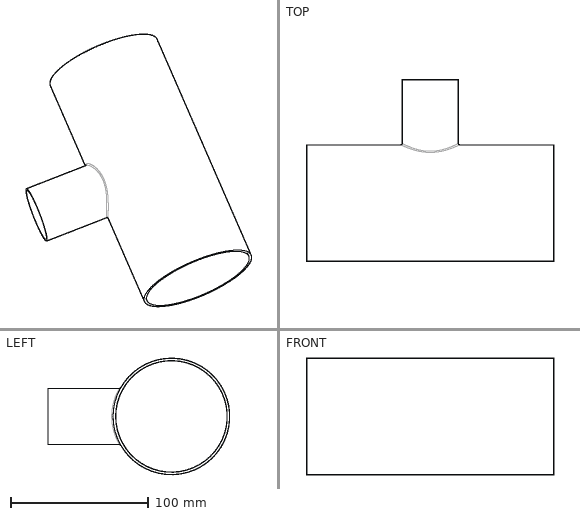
import cadquery as cq

main_length = 180.0
main_outer_diameter = 85.0
main_inner_diameter = 81.0

branch_outer_diameter = 41.0
branch_inner_diameter = 38.0
branch_reach = 90.0

joint_fillet = 1.0


def main_cylinder(diameter):
    """Cylinder along X, centred on the origin."""
    return cq.Workplane("YZ").circle(diameter / 2).extrude(main_length / 2, both=True)


def branch_cylinder(diameter):
    """Cylinder from the main axis out to the end of the branch along +Y."""
    return cq.Workplane("XZ").circle(diameter / 2).extrude(-branch_reach)


def joint_edges():
    """Selector for the edges where the branch meets the outside of the main tube."""
    half_width = 0.6 * branch_outer_diameter
    return cq.selectors.BoxSelector(
        (-half_width, 0, -half_width),
        (half_width, 0.6 * main_outer_diameter, half_width),
    )


outer_body = main_cylinder(main_outer_diameter).union(branch_cylinder(branch_outer_diameter))
outer_body = outer_body.edges(joint_edges()).fillet(joint_fillet)
result = outer_body.cut(main_cylinder(main_inner_diameter)).cut(branch_cylinder(branch_inner_diameter))